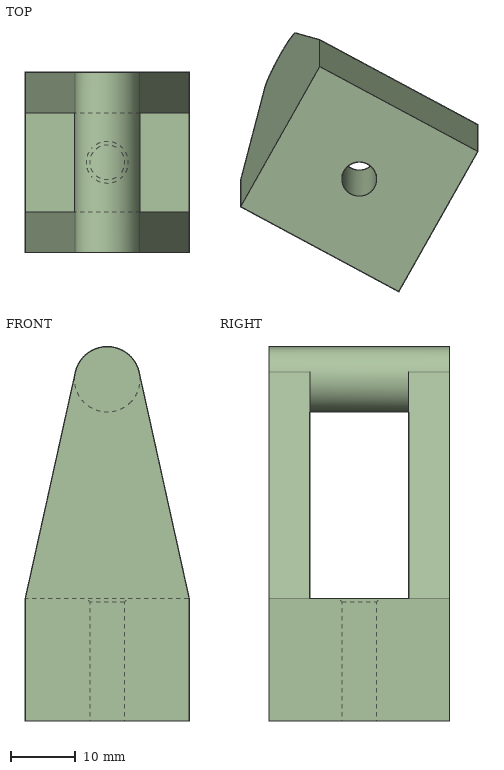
import cadquery as cq
import math

width = 25.4
depth = 27.95
height = 57.95
base_height = 19.0

bar_diameter = 10.15
plate_thickness = 6.3

hole_diameter = 5.4
countersink_diameter = 6.5
countersink_angle = 90

bar_radius = bar_diameter / 2
bar_center_z = height - bar_radius
gap = depth - 2 * plate_thickness


def flank_tangent_point():
    """Point where the +X flank, rising from the base corner, touches the bar."""
    rise = bar_center_z - base_height
    half_width = width / 2
    corner_distance = math.hypot(half_width, rise)
    corner_angle = math.atan2(-rise, half_width)
    angle = corner_angle + math.acos(bar_radius / corner_distance)
    return bar_radius * math.cos(angle), bar_center_z + bar_radius * math.sin(angle)


def tapered_body():
    """Straight base with flanks running tangentially into a round top."""
    tangent_x, tangent_z = flank_tangent_point()
    return (
        cq.Workplane("XZ", origin=(0, depth / 2, 0))
        .moveTo(-width / 2, 0)
        .lineTo(width / 2, 0)
        .lineTo(width / 2, base_height)
        .lineTo(tangent_x, tangent_z)
        .threePointArc((0, height), (-tangent_x, tangent_z))
        .lineTo(-width / 2, base_height)
        .close()
        .extrude(depth)
    )


def hand_opening():
    """Space above the floor and between the plates."""
    opening_height = height - base_height
    return (
        cq.Workplane("XY")
        .workplane(offset=base_height)
        .rect(width, gap)
        .extrude(opening_height)
    )


def handle_bar():
    """Round bar spanning both plates."""
    return (
        cq.Workplane("XZ", origin=(0, depth / 2, 0))
        .center(0, bar_center_z)
        .circle(bar_radius)
        .extrude(depth)
    )


def drill_floor(body):
    """Countersunk vertical hole at the center of the floor, through the base."""
    return (
        body.copyWorkplane(cq.Workplane("XY", origin=(0, 0, base_height)))
        .cskHole(hole_diameter, countersink_diameter, countersink_angle, depth=base_height)
    )


frame = drill_floor(tapered_body().cut(hand_opening()))
result = frame.union(handle_bar()).clean()